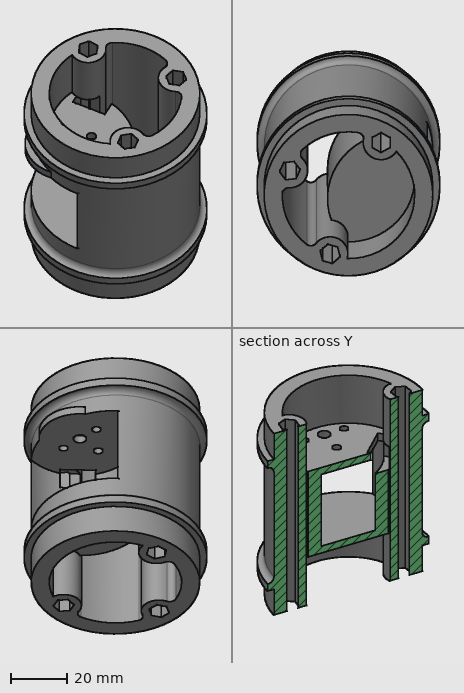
import cadquery as cq
import math

height = 77.72
body_radius = 30.0
bore_radius = 23.55
mid_wall_radius = (bore_radius + body_radius) / 2
overshoot = 1.0

collar_radius = 32.54
collar_thickness = 3.175
collar_inset = 11.0
collar_fillet = 2.38

boss_pitch_radius = 22.75
boss_radius = 6.35
boss_fillet = 2.38
boss_spacing = 97.0
rear_angle = 90.0
boss_angles = [rear_angle - boss_spacing, rear_angle, rear_angle + boss_spacing]
hex_across_flats = 6.4
hex_turn = 30.0

chamber_y = -18.52
chamber_radius = 21.25
chamber_height = 30.4
wall = 3.175
chamber_bottom = (height - chamber_height) / 2
chamber_top = chamber_bottom + chamber_height
roof_top = chamber_top + wall
housing_radius = chamber_radius + wall
housing_bottom = chamber_bottom - wall
housing_height = chamber_height + 2 * wall

lip_radius = 14.58

slot_angle = 135.0
slot_width = 12.7
slot_start = 18.05
slot_length = 6.5
slot_depth = 6.2

shaft_hole_diameter = 4.6
screw_hole_diameter = 3.175
side_hole_x = 8.0
rear_hole_y = -9.0
rear_hole_diameter = 3.3


def cylinder(radius, bottom, length, x=0.0, y=0.0):
    """Upright cylinder whose base centre is (x, y, bottom)."""
    return cq.Workplane("XY", origin=(x, y, bottom)).circle(radius).extrude(length)


def polar(radius, degrees):
    angle = math.radians(degrees)
    return radius * math.cos(angle), radius * math.sin(angle)


def collar():
    """Lower collar: a ring with a concave fillet running up onto the tube."""
    top = collar_inset + collar_thickness
    fillet_reach = body_radius + collar_fillet
    arc_middle = collar_fillet * (1 - math.sqrt(0.5))
    return (
        cq.Workplane("XZ")
        .moveTo(mid_wall_radius, collar_inset)
        .lineTo(collar_radius, collar_inset)
        .lineTo(collar_radius, top)
        .lineTo(fillet_reach, top)
        .threePointArc((body_radius + arc_middle, top + arc_middle), (body_radius, top + collar_fillet))
        .lineTo(mid_wall_radius, top + collar_fillet)
        .close()
        .revolve(360, (0, 0, 0), (0, 1, 0))
    )


def tube_with_bosses():
    """Tube with its bosses, filleted where they meet the rear part of the bore."""
    tube = cylinder(body_radius, 0, height).cut(cylinder(bore_radius, 0, height))
    for angle in boss_angles:
        x, y = polar(boss_pitch_radius, angle)
        tube = tube.union(cylinder(boss_radius, 0, height, x, y))

    junction_cosine = (bore_radius**2 + boss_pitch_radius**2 - boss_radius**2) / (
        2 * bore_radius * boss_pitch_radius
    )
    junction_offset = math.degrees(math.acos(junction_cosine))
    right_angle, _, left_angle = boss_angles
    junction_angles = [
        right_angle + junction_offset,
        rear_angle - junction_offset,
        rear_angle + junction_offset,
        left_angle - junction_offset,
    ]
    for angle in junction_angles:
        x, y = polar(bore_radius, angle)
        junction = cq.selectors.NearestToPointSelector((x, y, height / 2))
        tube = tube.edges("|Z").edges(junction).fillet(boss_fillet)
    return tube


def slot():
    """Box that cuts the slot through the roof, the chamber wall and the side of the left boss."""
    return (
        cq.Workplane("XY")
        .box(slot_length, slot_width, slot_depth + wall, centered=(False, True, False))
        .translate((slot_start, 0, chamber_top - slot_depth))
        .rotate((0, 0, 0), (0, 0, 1), slot_angle)
        .translate((0, chamber_y, 0))
    )


def chamber_housing():
    """Solid block for the chamber, kept inside the tube."""
    block = cylinder(housing_radius, housing_bottom, housing_height, y=chamber_y)
    inside_tube = cylinder(mid_wall_radius, 0, height)
    return block.intersect(inside_tube)


def cut_hex_holes(part):
    corner_diameter = hex_across_flats / math.cos(math.radians(30))
    for angle in boss_angles:
        hole = (
            cq.Workplane("XY")
            .center(boss_pitch_radius, 0)
            .transformed(rotate=(0, 0, hex_turn))
            .polygon(6, corner_diameter)
            .extrude(height)
            .rotate((0, 0, 0), (0, 0, 1), angle)
        )
        part = part.cut(hole)
    return part


def cut_roof_holes(part):
    holes = [
        (0, chamber_y, shaft_hole_diameter),
        (-side_hole_x, chamber_y, screw_hole_diameter),
        (side_hole_x, chamber_y, screw_hole_diameter),
        (0, rear_hole_y, rear_hole_diameter),
    ]
    for x, y, diameter in holes:
        part = part.cut(cylinder(diameter / 2, chamber_top - overshoot, wall + 2 * overshoot, x, y))
    return part


lower_collar = collar()
upper_collar = lower_collar.mirror("XY").translate((0, 0, height))

result = tube_with_bosses().union(lower_collar).union(upper_collar)
result = result.union(chamber_housing())
result = result.cut(cylinder(chamber_radius, chamber_bottom, chamber_height, y=chamber_y))
result = result.union(cylinder(lip_radius, chamber_top, wall, y=chamber_y))
result = result.cut(slot())
result = cut_roof_holes(result)
result = cut_hex_holes(result)